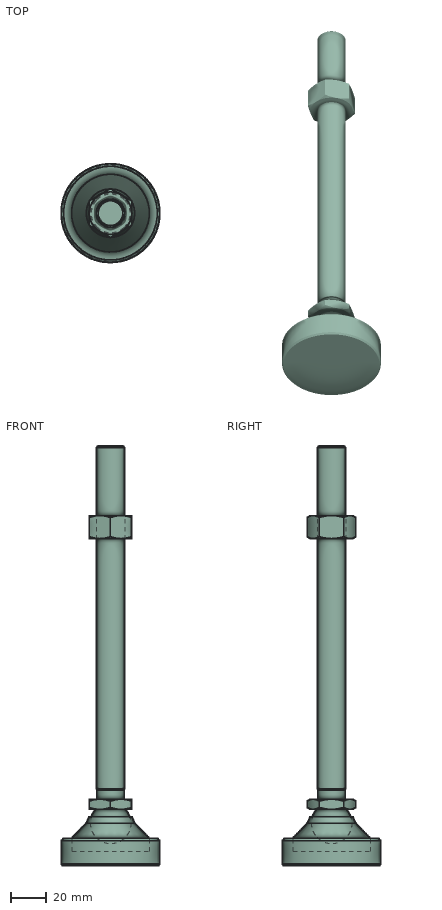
import cadquery as cq
import math

total_height = 237.5
pad_height = 15.5
dish_shoulder_height = 24.0
dish_height = 27.5
foot_hex_bottom = 31.8
foot_hex_thickness = 5.7
thread_start = 43.5
lock_nut_bottom = 185.0
lock_nut_thickness = 13.0

pad_radius = 28.0
pad_top_chamfer = 1.5
pad_bottom_chamfer_height = 1.0
pad_bottom_chamfer_inset = 0.75

dish_base_radius = 22.0
dish_shoulder_radius = 13.7
dish_rim_radius = 12.2
dish_seat_height = 8.0

ball_radius = 11.5
ball_center_height = 24.0
thread_radius = 8.0
thread_end_chamfer = 1.0
neck_radius = 7.9
neck_chamfer = 1.0

hex_sides = 6
hex_across_flats = 24.0
hex_corner_radius = hex_across_flats / math.sqrt(3)
hex_face_radius = hex_across_flats / 2
hex_chamfer_angle = 30.0


def revolve_profile(profile):
    """Revolve an (r, z) outline drawn on the XZ plane about the Z axis."""
    return profile.close().revolve(360, (0, 0, 0), (0, 1, 0))


def chamfered_hexagon(bottom, thickness):
    """Hexagon with flats facing +-X and its corners turned off at both ends."""
    drop = (hex_corner_radius - hex_face_radius) * math.tan(math.radians(hex_chamfer_angle))
    top = bottom + thickness
    prism = (
        cq.Workplane("XY")
        .workplane(offset=bottom)
        .polygon(hex_sides, 2 * hex_corner_radius)
        .extrude(thickness)
        .rotate((0, 0, 0), (0, 0, 1), 180 / hex_sides)
    )
    turned_envelope = revolve_profile(
        cq.Workplane("XZ")
        .moveTo(0, bottom)
        .lineTo(hex_face_radius, bottom)
        .lineTo(hex_corner_radius, bottom + drop)
        .lineTo(hex_corner_radius, top - drop)
        .lineTo(hex_face_radius, top)
        .lineTo(0, top)
    )
    return prism.intersect(turned_envelope)


def ball():
    """Ball at the spindle's lower end, which also shapes the dish's socket."""
    return cq.Workplane("XY").sphere(ball_radius).translate((0, 0, ball_center_height))


def make_pad():
    """Round pad with a recess that takes the dish."""
    return revolve_profile(
        cq.Workplane("XZ")
        .moveTo(0, 0)
        .lineTo(pad_radius - pad_bottom_chamfer_inset, 0)
        .lineTo(pad_radius, pad_bottom_chamfer_height)
        .lineTo(pad_radius, pad_height - pad_top_chamfer)
        .lineTo(pad_radius - pad_top_chamfer, pad_height)
        .lineTo(dish_base_radius, pad_height)
        .lineTo(dish_base_radius, dish_seat_height)
        .lineTo(0, dish_seat_height)
    )


def make_dish():
    """Cone with a steeper rim, hollowed for the ball."""
    body = revolve_profile(
        cq.Workplane("XZ")
        .moveTo(0, dish_seat_height)
        .lineTo(dish_base_radius, dish_seat_height)
        .lineTo(dish_base_radius, pad_height)
        .lineTo(dish_shoulder_radius, dish_shoulder_height)
        .lineTo(dish_rim_radius, dish_height)
        .lineTo(0, dish_height)
    )
    return body.cut(ball())


def make_spindle():
    """Rod with a chamfered neck below it, a wrench hexagon and a ball end."""
    rod = revolve_profile(
        cq.Workplane("XZ")
        .moveTo(0, ball_center_height)
        .lineTo(neck_radius, ball_center_height)
        .lineTo(neck_radius, thread_start - neck_chamfer)
        .lineTo(neck_radius - neck_chamfer, thread_start)
        .lineTo(thread_radius, thread_start)
        .lineTo(thread_radius, total_height - thread_end_chamfer)
        .lineTo(thread_radius - thread_end_chamfer, total_height)
        .lineTo(0, total_height)
    )
    return rod.union(ball()).union(chamfered_hexagon(foot_hex_bottom, foot_hex_thickness))


def make_lock_nut():
    """Hexagon nut bored to fit the rod."""
    bore = (
        cq.Workplane("XY")
        .workplane(offset=lock_nut_bottom)
        .circle(thread_radius)
        .extrude(lock_nut_thickness)
    )
    return chamfered_hexagon(lock_nut_bottom, lock_nut_thickness).cut(bore)


pad = make_pad()
dish = make_dish()
spindle = make_spindle()
lock_nut = make_lock_nut()

result = cq.Compound.makeCompound([pad.val(), dish.val(), spindle.val(), lock_nut.val()])